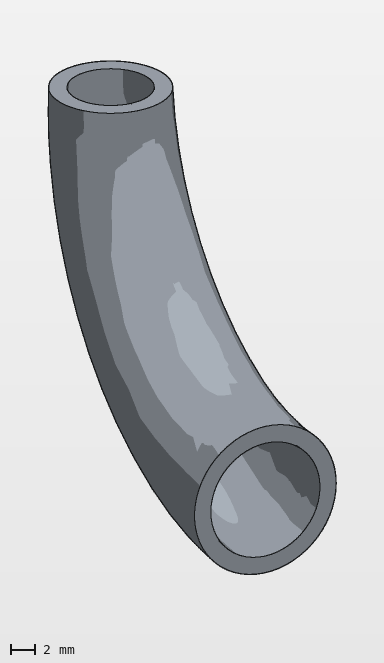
import cadquery as cq

bend_radius = 26.0
small_diameter = 10.0
large_diameter = 13.0
wall = 1.5

diagonal = bend_radius * 0.5 ** 0.5


def tapered_bend(start_diameter, end_diameter):
    """Solid quarter bend in the XZ plane, centred on the origin, tapering from top to side end."""
    path = (
        cq.Workplane("XZ")
        .moveTo(-bend_radius, 0)
        .threePointArc((-diagonal, -diagonal), (0, -bend_radius))
    )
    return (
        cq.Workplane("XY", origin=(-bend_radius, 0, 0))
        .circle(start_diameter / 2)
        .copyWorkplane(cq.Workplane("YZ", origin=(0, 0, -bend_radius)))
        .circle(end_diameter / 2)
        .sweep(path, multisection=True)
    )


outer = tapered_bend(small_diameter, large_diameter)
bore = tapered_bend(small_diameter - 2 * wall, large_diameter - 2 * wall)
result = outer.cut(bore)